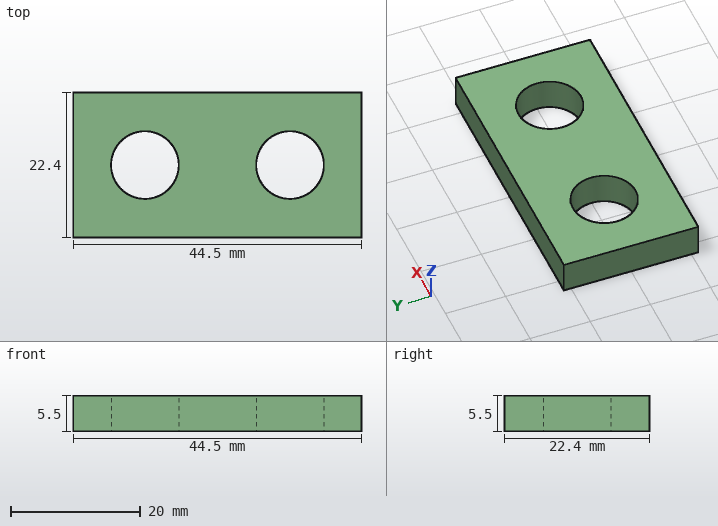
import cadquery as cq

length = 44.45
width = 22.35
thickness = 5.5

hole_diameter = 10.4
hole_spacing = 22.35

plate = cq.Workplane("XY").box(length, width, thickness)

result = (
    plate.faces(">Z")
    .workplane()
    .rarray(hole_spacing, 0.45, 2, 1)
    .hole(hole_diameter)
)